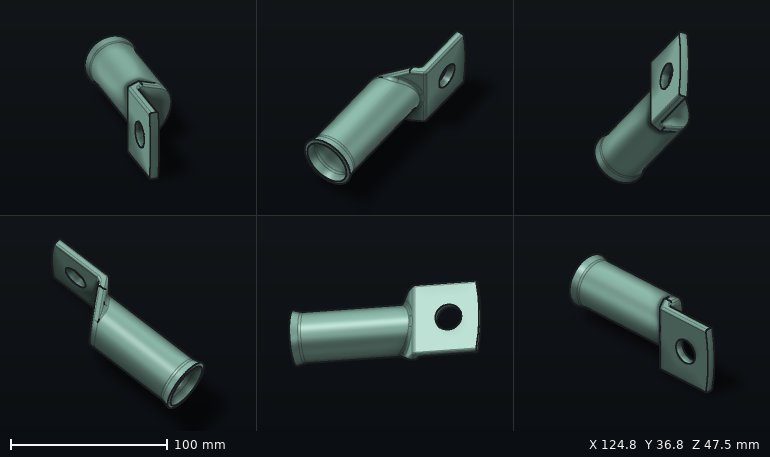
import cadquery as cq
import math

length = 124.8
width = 47.5
plate_thickness = 6.0
plate_back_y = -18.8
plate_front_y = plate_back_y + plate_thickness

tube_radius = 16.5
bore_radius = 13.6
mouth_radius = 18.0
mouth_bore_radius = 15.3
lip_setback = 0.5
flare_end_x = 6.5
flare_blend_radius = 7.5
bore_depth = 62.4

slope_angle = 60.0
front_bend_x = 84.8
inner_bend_radius = 3.7
outer_bend_radius = 2.5
shoulder_y = -9.1
rim_radius = 1.5
weld_radius = 3.1

end_bulge = 2.1
hole_diameter = 17.0
hole_x = 104.7

slope_run = 1 / math.tan(math.radians(slope_angle))
bend_shift = plate_thickness * math.tan(math.radians(slope_angle / 2))
back_bend_x = front_bend_x - bend_shift
half_width = width / 2


def slope_front_x(y):
    """X of the sloping +X face at a given y."""
    return front_bend_x - (y - plate_front_y) * slope_run


def slope_back_x(y):
    """X of the sloping -X face at a given y."""
    return back_bend_x - (y - plate_back_y) * slope_run


def bent_strip():
    """Constant-thickness strip: a palm and a leg leaning back over the tube."""
    top_y = tube_radius
    strip = (
        cq.Workplane("XY")
        .moveTo(back_bend_x, plate_back_y)
        .lineTo(length, plate_back_y)
        .lineTo(length, plate_front_y)
        .lineTo(front_bend_x, plate_front_y)
        .lineTo(slope_front_x(top_y), top_y)
        .lineTo(slope_back_x(top_y), top_y)
        .close()
        .extrude(half_width, both=True)
    )
    inner_bend = cq.selectors.NearestToPointSelector((front_bend_x, plate_front_y, 0))
    outer_bend = cq.selectors.NearestToPointSelector((back_bend_x, plate_back_y, 0))
    strip = strip.edges(inner_bend).fillet(inner_bend_radius)
    return strip.edges(outer_bend).fillet(outer_bend_radius)


def shoulder_outline():
    """Prism along X: straight sides that taper tangentially onto the tube circle."""
    reach = math.hypot(shoulder_y, half_width)
    tangent_angle = math.atan2(half_width, shoulder_y) - math.acos(tube_radius / reach)
    tangent_y = tube_radius * math.cos(tangent_angle)
    tangent_z = tube_radius * math.sin(tangent_angle)
    return (
        cq.Workplane("YZ")
        .moveTo(plate_back_y, -half_width)
        .lineTo(shoulder_y, -half_width)
        .lineTo(tangent_y, -tangent_z)
        .threePointArc((tube_radius, 0), (tangent_y, tangent_z))
        .lineTo(shoulder_y, half_width)
        .lineTo(plate_back_y, half_width)
        .close()
        .extrude(length)
    )


def palm_end():
    """Prism along Y that gives the palm its bowed free end."""
    return (
        cq.Workplane("XZ")
        .moveTo(0, -half_width)
        .lineTo(length - end_bulge, -half_width)
        .threePointArc((length, 0), (length - end_bulge, half_width))
        .lineTo(0, half_width)
        .close()
        .extrude(width, both=True)
    )


def flared_solid(workplane, mouth, straight, setback, bend_x, blend_radius, end_x):
    """Cylinder whose mouth flares out, revolved from its half profile about the X axis."""
    flare_angle = math.atan2(mouth - straight, bend_x - setback)
    blend_reach = blend_radius * math.tan(flare_angle / 2)
    mid_rise = blend_radius * (1 - math.cos(flare_angle / 2))
    blend_end_x = bend_x + blend_reach
    blend_start = (
        bend_x - blend_reach * math.cos(flare_angle),
        straight + blend_reach * math.sin(flare_angle),
    )
    blend_middle = (blend_end_x - blend_radius * math.sin(flare_angle / 2), straight + mid_rise)
    return (
        workplane.lineTo(setback, mouth)
        .lineTo(*blend_start)
        .threePointArc(blend_middle, (blend_end_x, straight))
        .lineTo(end_x, straight)
        .lineTo(end_x, 0)
        .close()
        .revolve(360, (0, 0, 0), (1, 0, 0))
    )


def tube_body():
    """Solid flared barrel, stopped halfway through the sloping leg."""
    lip = cq.Workplane("XY").lineTo(0, mouth_bore_radius)
    barrel = flared_solid(
        lip, mouth_radius, tube_radius, lip_setback, flare_end_x, flare_blend_radius, length
    )
    low_y = -width
    high_y = width
    behind_slope = (
        cq.Workplane("XY")
        .moveTo(0, low_y)
        .lineTo((slope_front_x(low_y) + slope_back_x(low_y)) / 2, low_y)
        .lineTo((slope_front_x(high_y) + slope_back_x(high_y)) / 2, high_y)
        .lineTo(0, high_y)
        .close()
        .extrude(width, both=True)
    )
    return barrel.intersect(behind_slope)


def bore():
    """Blind cable bore whose mouth flares parallel to the outside."""
    return flared_solid(
        cq.Workplane("XY"), mouth_bore_radius, bore_radius, 0,
        flare_end_x, flare_blend_radius, bore_depth,
    )


def round_rim(strip):
    """Round the front and back edges along the outline, leaving the free end sharp."""
    along_x = cq.selectors.ParallelDirSelector(cq.Vector(1, 0, 0))
    above_palm = cq.selectors.BoxSelector(
        (0, plate_front_y + rim_radius, -width), (length, width, width)
    )
    across_thickness = along_x & above_palm
    rim = strip.edges("not (|Z or |Y)").edges(-across_thickness)
    return rim.fillet(rim_radius)


def blend_tube(lug):
    """Fillet the corner where the tube meets the back of the sloping leg."""
    mid_band = cq.selectors.BoxSelector((0, -width, -rim_radius), (length, width, rim_radius))
    junction = cq.selectors.TypeSelector("ELLIPSE") & mid_band
    return lug.edges(junction).fillet(weld_radius)


strip = round_rim(bent_strip().intersect(shoulder_outline()))
plate = strip.intersect(palm_end())
lug = blend_tube(plate.union(tube_body()))
hole = (
    cq.Workplane("XZ")
    .center(hole_x, 0)
    .circle(hole_diameter / 2)
    .extrude(width, both=True)
)
result = lug.cut(bore()).cut(hole)